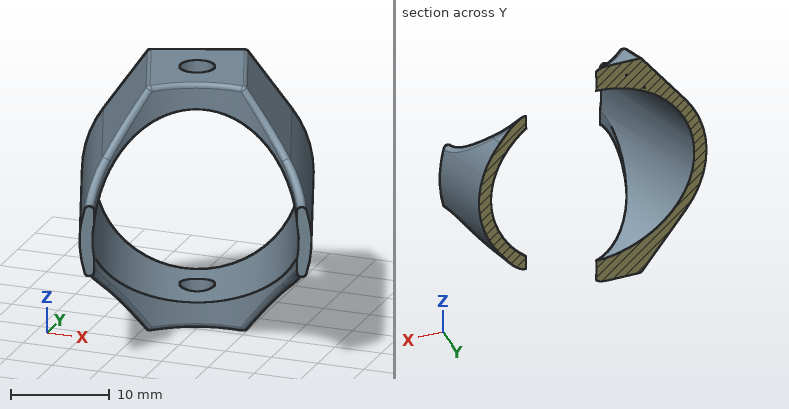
import cadquery as cq
import math

turn = 20.0
outer_radius = 11.75
bore_radius = 10.45
depth = 20.25
height = 26.45
tangent_z = 6.85
saddle_radius = 10.27
pin_diameter = 3.6
pin_from_back = 5.0
edge_round = 0.5
bore_round = 0.4
slack = 0.3

half_height = height / 2
tangent_x = math.sqrt(outer_radius**2 - tangent_z**2)
flat_x = (outer_radius**2 - half_height * tangent_z) / tangent_x


def ring_blank():
    """Solid blank with its axis along Y and its front face at Y = 0."""
    return (
        cq.Workplane("XZ")
        .moveTo(-flat_x, half_height)
        .lineTo(flat_x, half_height)
        .lineTo(tangent_x, tangent_z)
        .threePointArc((outer_radius, 0), (tangent_x, -tangent_z))
        .lineTo(flat_x, -half_height)
        .lineTo(-flat_x, -half_height)
        .lineTo(-tangent_x, -tangent_z)
        .threePointArc((-outer_radius, 0), (-tangent_x, tangent_z))
        .close()
        .extrude(-depth)
    )


def vertical_cylinder(radius, y):
    """Cutter through the full height, centred at X = 0 and the given Y."""
    return cq.Workplane("XY").center(0, y).circle(radius).extrude(half_height, both=True)


body = ring_blank().cut(vertical_cylinder(saddle_radius, 0))

flat_edges = body.faces("<Z or >Z").edges("|Y")
saddle_box = cq.selectors.BoxSelector(
    (-flat_x, 0, -half_height),
    (flat_x, depth - slack, half_height),
)
saddle_rim = body.faces(saddle_box).faces("%CYLINDER").edges("not |Z")
body = flat_edges.add(saddle_rim).fillet(edge_round)

bore = cq.Workplane("XZ").circle(bore_radius).extrude(-depth)
body = body.cut(bore)

mouth_reach = bore_radius + slack
mouth_box = cq.selectors.BoxSelector(
    (-mouth_reach, depth - slack, -mouth_reach),
    (mouth_reach, depth + slack, mouth_reach),
    boundingbox=True,
)
body = body.faces(">Y").edges("%CIRCLE").edges(mouth_box).fillet(bore_round)

body = body.cut(vertical_cylinder(pin_diameter / 2, depth - pin_from_back))

result = body.rotate((0, 0, 0), (0, 0, 1), turn)